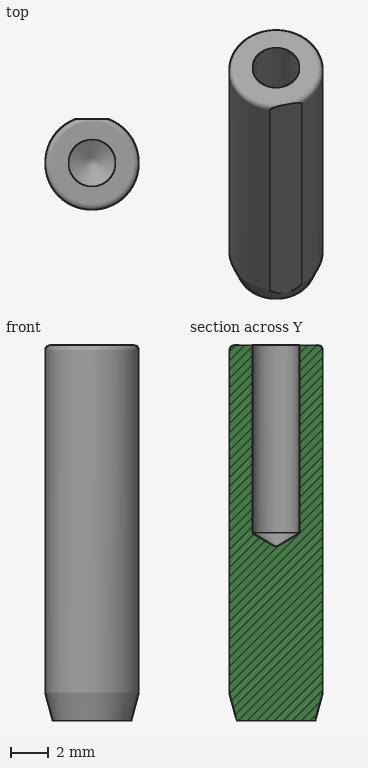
import cadquery as cq
import math

length = 20.0
pin_diameter = 5.0
pin_radius = pin_diameter / 2
top_rounding = 0.3

taper_height = 1.5
taper_angle = 15.0
bottom_radius = pin_radius - taper_height * math.tan(math.radians(taper_angle))

flat_distance = 2.35

hole_diameter = 2.5
hole_radius = hole_diameter / 2
hole_depth = 10.0
drill_point_angle = 118.0
drill_point_height = hole_radius / math.tan(math.radians(drill_point_angle / 2))


def make_pin():
    """Revolved body with a tapered bottom and a rounded top rim."""
    profile = (
        cq.Workplane("XZ")
        .moveTo(0, 0)
        .lineTo(bottom_radius, 0)
        .lineTo(pin_radius, taper_height)
        .lineTo(pin_radius, length)
        .lineTo(0, length)
        .close()
    )
    return profile.revolve(360, (0, 0), (0, 1)).faces(">Z").edges().fillet(top_rounding)


def make_hole():
    """Revolved cutter for the straight hole and its conical drill point."""
    shoulder_z = length - hole_depth
    profile = (
        cq.Workplane("XZ")
        .moveTo(0, length)
        .lineTo(hole_radius, length)
        .lineTo(hole_radius, shoulder_z)
        .lineTo(0, shoulder_z - drill_point_height)
        .close()
    )
    return profile.revolve(360, (0, 0), (0, 1))


def make_flat():
    """Block that removes everything beyond the flat."""
    return (
        cq.Workplane("XY")
        .box(pin_diameter, pin_radius, length, centered=(True, False, False))
        .translate((0, flat_distance, 0))
    )


result = make_pin().cut(make_hole()).cut(make_flat())